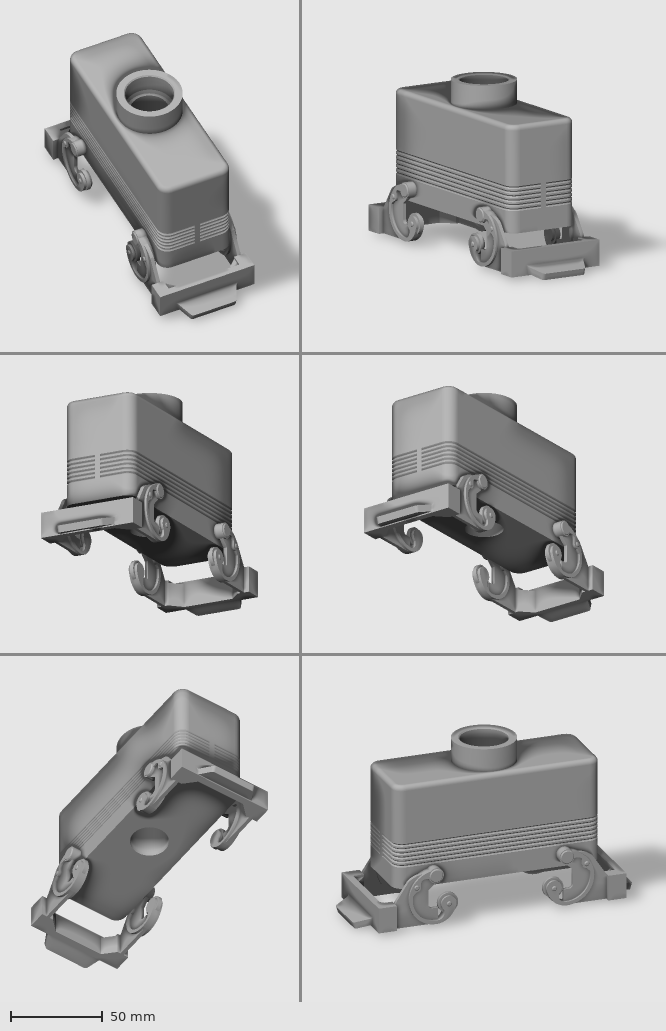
import cadquery as cq
import math


hood_length = 120.2
hood_width = 42.8
hood_height = 60.1
hood_corner_radius = 6.2
hood_top_radius = 2.8

collar_radius = 18.1
collar_top = 73.3
mouth_radius = 14.0
mouth_chamfer = 0.7
seat_radius = 12.4
through_radius = 10.6
seat_taper_start = 10.6
seat_depth = 12.4

groove_count = 6
groove_pitch = 2.5
groove_depth = 0.73
lowest_groove_z = 13.2
groove_gap = 3.1

lever_bottom = -21.0
frame_length_y = 57.0
frame_outer_x = -72.4
frame_inner_x = -61.7
frame_top = -6.5
bar_thickness = 4.1
arm_inner_y = 21.4
gusset_leg = 6.5
gusset_drop = 1.5

tab_tip_x = -81.7
tab_tip_z = -19.1
tab_tilt = 17.0
tab_thickness = 4.0
tab_root_half_width = 17.8
tab_tip_half_width = 13.4
tab_corner_radius = 2.0
tab_root_fillet = 1.3

root_pick_margin = 0.02
root_pick_half_width = frame_length_y / 3
root_pick_bottom = lever_bottom + 1.0
root_pick_top = frame_top - 1.6

hook_inner_y = 21.9
plate_inner_y = 23.4
plate_outer_y = 25.5
hook_outer_y = 27.0
pin_end_y = 27.6
pin_chamfer = 0.5
pivot_x = -38.2
pivot_z = 7.3
pivot_eye_radius = 4.4
pivot_pin_radius = 4.0
hook_outer_radius = 15.8
hook_band = 2.1
hook_z = lever_bottom + hook_outer_radius
roller_x = -30.7
roller_z = -10.1
roller_radius = 5.9
roller_eye_radius = 4.4
rivet_radius = 1.5
rivet_x = -49.6
rivet_z = 1.8
rivet_boss_radius = 2.6
notch_x = -42.1
notch_floor_z = -12.1
notch_radius = 2.3
plate_end_x = -36.7


def polar(x, z, radius, angle):
    """Point at an angle in degrees on a circle in the XZ plane."""
    turn = math.radians(angle)
    return (x + radius * math.cos(turn), z + radius * math.sin(turn))


def layer(profile, inner_y, outer_y):
    """Extrude an XZ profile towards -Y, between two distances from the midplane."""
    return profile.extrude(outer_y - inner_y).translate((0, -inner_y, 0))


def disc(x, z, radius, inner_y, outer_y):
    return layer(cq.Workplane("XZ").center(x, z).circle(radius), inner_y, outer_y)


def pin(x, z, radius, inner_y):
    return disc(x, z, radius, inner_y, pin_end_y).faces("<Y").chamfer(pin_chamfer)


def make_hood():
    hood = (
        cq.Workplane("XY")
        .rect(hood_length, hood_width)
        .extrude(hood_height)
        .edges("|Z")
        .fillet(hood_corner_radius)
        .faces(">Z")
        .edges()
        .fillet(hood_top_radius)
    )
    collar = cq.Workplane("XY").circle(collar_radius).extrude(collar_top)
    return hood.union(collar).cut(make_bore())


def make_bore():
    bore_radius = mouth_radius - mouth_chamfer
    return (
        cq.Workplane("XZ")
        .moveTo(0, 0)
        .lineTo(through_radius, 0)
        .lineTo(through_radius, collar_top - seat_depth)
        .lineTo(seat_radius, collar_top - seat_depth)
        .lineTo(bore_radius, collar_top - seat_taper_start)
        .lineTo(bore_radius, collar_top - mouth_chamfer)
        .lineTo(mouth_radius, collar_top)
        .lineTo(0, collar_top)
        .close()
        .revolve(360, (0, 0, 0), (0, 1, 0))
    )


def rounded_slice(inset, z):
    """Hood outline shrunk by an inset, at height z."""
    return (
        cq.Workplane("XY")
        .workplane(offset=z)
        .sketch()
        .rect(hood_length - 2 * inset, hood_width - 2 * inset)
        .vertices()
        .fillet(hood_corner_radius - inset)
        .finalize()
    )


def make_groove(z):
    """V groove around the hood, left uncut in the middle of each end face."""
    ring = rounded_slice(0, z - groove_depth).extrude(2 * groove_depth)
    for side in (-1, 1):
        core = rounded_slice(0, z + side * groove_depth).extrude(-side * groove_depth, taper=45)
        ring = ring.cut(core)
    gap_strip = cq.Workplane("XY").box(2 * hood_length, groove_gap, 2 * hood_height)
    return ring.cut(gap_strip)


def make_frame():
    """U-shaped handle with inner corner gussets and a thumb tab."""
    height = frame_top - lever_bottom
    depth = frame_inner_x - frame_outer_x
    bar_inner_x = frame_outer_x + bar_thickness
    frame = cq.Workplane("XY").box(depth, frame_length_y, height, centered=(False, True, False))
    opening = (
        cq.Workplane("XY")
        .box(depth, 2 * arm_inner_y, height, centered=(False, True, False))
        .translate((bar_thickness, 0, 0))
    )
    frame = frame.cut(opening).translate((frame_outer_x, 0, lever_bottom))
    for side in (-1, 1):
        corner_y = side * arm_inner_y
        gusset = (
            cq.Workplane("XY", origin=(0, 0, lever_bottom))
            .polyline([
                (bar_inner_x, corner_y),
                (bar_inner_x + gusset_leg, corner_y),
                (bar_inner_x, corner_y - side * gusset_leg),
            ])
            .close()
            .extrude(height - gusset_drop)
        )
        frame = frame.union(gusset)
    return fillet_tab_root(frame.union(make_tab()))


def fillet_tab_root(frame):
    """Blend the tab into the outer face of the frame."""
    root_edges = cq.selectors.BoxSelector(
        (frame_outer_x - root_pick_margin, -root_pick_half_width, root_pick_bottom),
        (frame_outer_x + root_pick_margin, root_pick_half_width, root_pick_top),
    )
    return frame.edges(root_edges).fillet(tab_root_fillet)


def make_tab():
    """Tapered thumb tab sloping down and away from the frame."""
    root_reach = (frame_outer_x - tab_tip_x) / math.cos(math.radians(tab_tilt))
    reach = root_reach + bar_thickness / 2
    slope = (tab_root_half_width - tab_tip_half_width) / root_reach
    end_half_width = tab_tip_half_width + slope * reach
    return (
        cq.Workplane("XY")
        .polyline([
            (0, -tab_tip_half_width),
            (reach, -end_half_width),
            (reach, end_half_width),
            (0, tab_tip_half_width),
        ])
        .close()
        .extrude(-tab_thickness)
        .edges("|Z and <X")
        .fillet(tab_corner_radius)
        .rotate((0, 0, 0), (0, 1, 0), -tab_tilt)
        .translate((tab_tip_x, 0, tab_tip_z))
    )


def make_hook():
    """Thick C-shaped band from the pivot eye round to the roller eye."""
    inner_radius = hook_outer_radius - hook_band
    boss_right = rivet_x + rivet_boss_radius
    band_top_z = 6.2
    hook = (
        cq.Workplane("XZ")
        .moveTo(pivot_x, hook_z + hook_outer_radius)
        .threePointArc((pivot_x - hook_outer_radius, hook_z), (pivot_x, lever_bottom))
        .threePointArc((-30.5, -18.1), polar(roller_x, roller_z, roller_eye_radius, -30))
        .lineTo(roller_x, roller_z)
        .lineTo(*polar(roller_x, roller_z, roller_eye_radius, -130))
        .threePointArc((-33.5, -16.0), (plate_end_x, hook_z - inner_radius))
        .lineTo(pivot_x, hook_z - inner_radius)
        .threePointArc(
            polar(pivot_x, hook_z, inner_radius, 220),
            polar(pivot_x, hook_z, inner_radius, 170),
        )
        .lineTo(rivet_x, rivet_z - rivet_boss_radius)
        .threePointArc(polar(rivet_x, rivet_z, rivet_boss_radius, -45), (boss_right, rivet_z))
        .lineTo(boss_right, band_top_z - notch_radius)
        .radiusArc((boss_right + notch_radius, band_top_z), notch_radius)
        .lineTo(pivot_x, band_top_z)
        .close()
    )
    return layer(hook, hook_inner_y, hook_outer_y)


def make_plate():
    """Thin cheek plate joining the frame to the pivot."""
    plate = (
        cq.Workplane("XZ")
        .moveTo(frame_inner_x - 1.6, lever_bottom)
        .lineTo(frame_inner_x - 1.6, frame_top)
        .lineTo(frame_inner_x, frame_top)
        .lineTo(-53.7, 5.4)
        .threePointArc((-50.6, 7.3), polar(pivot_x, hook_z, hook_outer_radius, 118))
        .lineTo(pivot_x, pivot_z)
        .lineTo(*polar(pivot_x, pivot_z, pivot_eye_radius, -80))
        .lineTo(notch_x, -1.0)
        .lineTo(notch_x, notch_floor_z + notch_radius)
        .radiusArc((notch_x + notch_radius, notch_floor_z), -notch_radius)
        .lineTo(plate_end_x, notch_floor_z)
        .lineTo(plate_end_x, hook_z - hook_outer_radius + hook_band)
        .lineTo(pivot_x, hook_z - hook_outer_radius + hook_band)
        .lineTo(pivot_x, lever_bottom)
        .close()
    )
    return layer(plate, plate_inner_y, plate_outer_y)


def make_cheek():
    """Plate, hook, rivet, roller and pivot of one side of the lever."""
    pivot_root_y = hood_width / 2 - 1.6
    pivot = disc(pivot_x, pivot_z, pivot_eye_radius, hook_inner_y, hook_outer_y).union(
        pin(pivot_x, pivot_z, pivot_pin_radius, pivot_root_y)
    )
    roller = (
        disc(roller_x, roller_z, roller_radius, plate_inner_y, plate_outer_y)
        .union(disc(roller_x, roller_z, roller_eye_radius, hook_inner_y, hook_outer_y))
        .union(pin(roller_x, roller_z, rivet_radius, plate_inner_y))
    )
    rivet = pin(rivet_x, rivet_z, rivet_radius, plate_inner_y)
    return make_plate().union(make_hook()).union(rivet).union(roller).union(pivot)


def make_lever():
    cheek = make_cheek()
    return make_frame().union(cheek).union(cheek.mirror("XZ"))


result = make_hood()
for index in range(groove_count):
    result = result.cut(make_groove(lowest_groove_z + index * groove_pitch))
lever = make_lever()
result = result.union(lever).union(lever.mirror("YZ"))